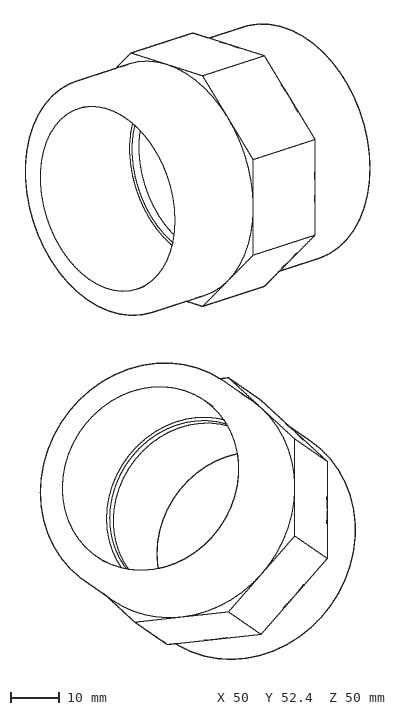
import cadquery as cq
import math

length = 52.4
outer_diameter = 50.0
grip_length = 18.0
rim_radius = 2.0
socket_diameter = 38.95
stop_diameter = 37.5
stop_length = 2.0
front_socket_depth = 26.0

grip_sides = 8
grip_across_corners = outer_diameter / math.cos(math.pi / grip_sides)
back_socket_depth = length - front_socket_depth - stop_length


def plane_at(y):
    """Plane across the sleeve axis whose extrusions run towards +Y."""
    return cq.Workplane("XZ", origin=(0, y, 0)).transformed(rotate=(180, 0, 0))


def cylinder(diameter, start_y, depth):
    return plane_at(start_y).circle(diameter / 2).extrude(depth)


def make_grip():
    """Octagon with flats tangent to the sleeve, facing X and Z."""
    return (
        plane_at(-grip_length / 2)
        .transformed(rotate=(0, 0, 180 / grip_sides))
        .polygon(grip_sides, grip_across_corners)
        .extrude(grip_length)
    )


sleeve = cylinder(outer_diameter, -length / 2, length).edges().fillet(rim_radius)
body = sleeve.union(make_grip())

body = body.cut(cylinder(stop_diameter, -length / 2, length))
body = body.cut(cylinder(socket_diameter, -length / 2, front_socket_depth))
body = body.cut(cylinder(socket_diameter, length / 2 - back_socket_depth, back_socket_depth))

result = body